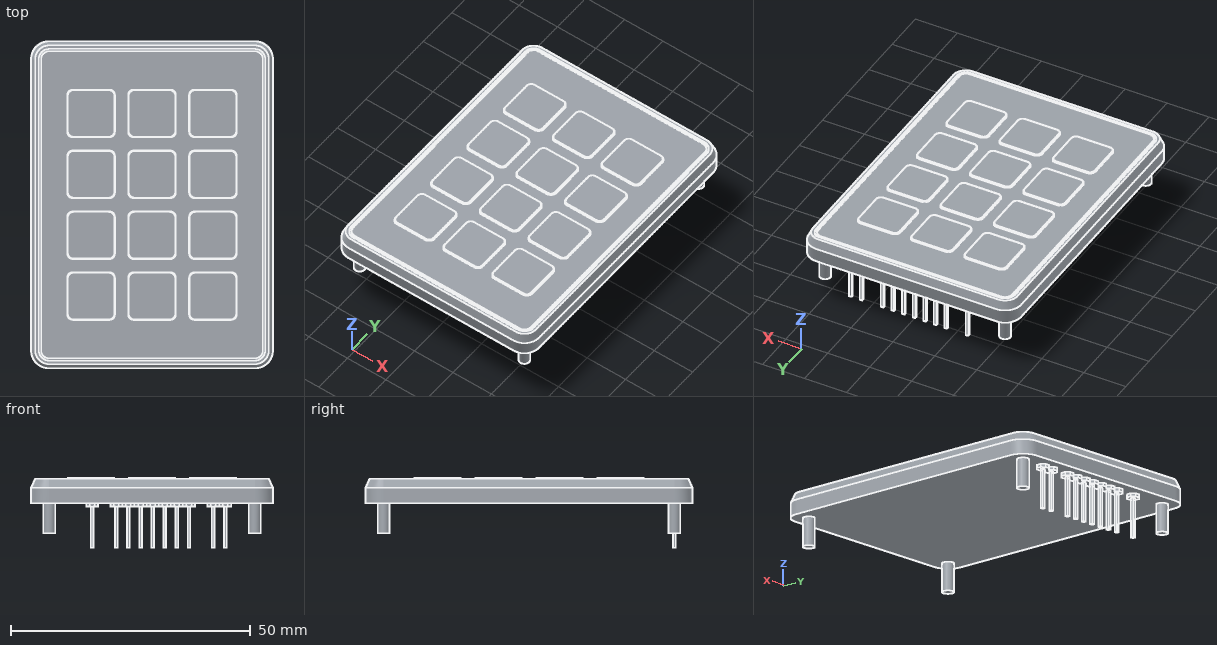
import cadquery as cq

width = 50.55
length = 68.3
corner_radius = 3.8
wall_height = 3.2
bevel_height = 1.9
bevel_inset = 0.9
body_height = wall_height + bevel_height

groove_inset = 1.65
groove_width = 0.5
groove_depth = 0.3

key_columns = 3
key_rows = 4
key_pitch = 12.7
key_size = 9.7
key_corner_radius = 1.1
key_gap = 0.15
key_rise = 0.2
well_depth = 0.3

peg_diameter = 2.5
peg_length = 6.3

pin_pitch = 2.5
header_shift = 0.15
pin_size = 0.6
pin_length = 9.3
collar_sides = 8
collar_height = 0.7
pin_slots = (-5, -3, -2, -1, 0, 1, 2, 3, 5, 6)

peg_x = width / 2 - corner_radius
peg_y = length / 2 - corner_radius
header_y = peg_y


def rounded_block(size_x, size_y, radius, bottom, height):
    """Block centred on the Z axis with rounded vertical edges."""
    block = cq.Workplane("XY").workplane(offset=bottom).rect(size_x, size_y).extrude(height)
    return block.edges("|Z").fillet(radius)


def inset_block(inset, bottom, height):
    """Block that follows the housing outline at a constant inset."""
    return rounded_block(
        width - 2 * inset, length - 2 * inset, corner_radius - inset, bottom, height
    )


def make_housing():
    """Rounded housing with a bevelled upper rim and a framing groove."""
    housing = inset_block(0, 0, body_height)
    housing = housing.faces(">Z").chamfer(bevel_height, bevel_inset)
    groove_floor = body_height - groove_depth
    groove = inset_block(groove_inset, groove_floor, groove_depth)
    panel = inset_block(groove_inset + groove_width, groove_floor, groove_depth)
    return housing.cut(groove.cut(panel))


def add_keys(housing):
    """Cut the key wells and stand a key in each of them."""
    floor = body_height - well_depth
    well_size = key_size + 2 * key_gap
    well = rounded_block(well_size, well_size, key_corner_radius + key_gap, floor, well_depth)
    key = rounded_block(key_size, key_size, key_corner_radius, floor, well_depth + key_rise)
    for column in range(key_columns):
        for row in range(key_rows):
            x = (column - (key_columns - 1) / 2) * key_pitch
            y = (row - (key_rows - 1) / 2) * key_pitch
            housing = housing.cut(well.translate((x, y, 0)))
            housing = housing.union(key.translate((x, y, 0)))
    return housing


def make_pegs():
    """Four round pegs below the housing corners."""
    corners = cq.Workplane("XY").rect(2 * peg_x, 2 * peg_y, forConstruction=True).vertices()
    return corners.circle(peg_diameter / 2).extrude(-peg_length)


def add_header(body):
    """Square pins with octagonal collars along the +Y edge."""
    places = [(header_shift + slot * pin_pitch, header_y) for slot in pin_slots]
    pins = cq.Workplane("XY").pushPoints(places).rect(pin_size, pin_size).extrude(-pin_length)
    body = body.union(pins)
    collar = cq.Workplane("XY").polygon(collar_sides, pin_pitch, circumscribed=True).extrude(-collar_height)
    for x, y in places:
        body = body.union(collar.translate((x, y, 0)))
    return body


result = add_header(add_keys(make_housing()).union(make_pegs()))